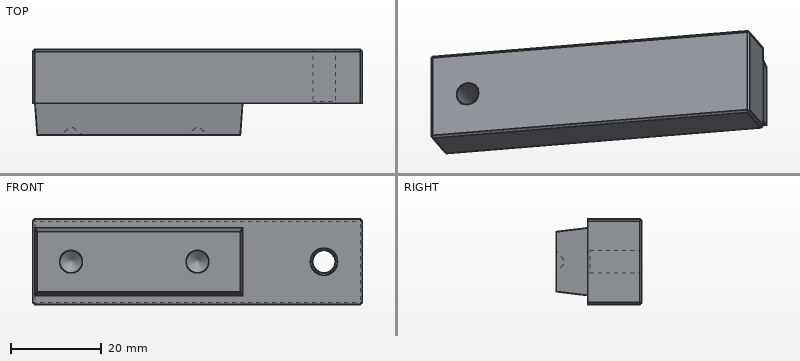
import cadquery as cq
import math

body_length = 73.0
body_thickness = 12.0
body_height = 19.0
body_chamfer = 0.5

pad_length = 46.0
pad_height = 15.0
pad_depth = 7.0
pad_end_gap = 0.5
end_taper = 0.5
side_draft_angle = 7.0

hole_diameter = 5.0
hole_end_distance = 8.5
hole_pitch = 28.0
mouth_diameter = 6.0
spot_depth = 2.0

mid_height = body_height / 2
pad_face_y = -pad_depth
spot_x = [hole_end_distance, hole_end_distance + hole_pitch]
through_hole_x = hole_end_distance + 2 * hole_pitch


def make_body():
    """Bar with chamfered back-face edges and chamfered corners along Y."""
    bar = cq.Workplane("XY").box(body_length, body_thickness, body_height, centered=False)
    bar = bar.faces(">Y").edges().chamfer(body_chamfer)
    return bar.edges("|Y").chamfer(body_chamfer)


def make_pad():
    """Pad that narrows toward -Y, steeper on its long sides than on its ends."""
    side_taper = pad_depth * math.tan(math.radians(side_draft_angle))
    pad_center = (pad_end_gap + pad_length / 2, 0, mid_height)
    return (
        cq.Workplane("XZ", origin=pad_center)
        .rect(pad_length, pad_height)
        .workplane(offset=pad_depth)
        .rect(pad_length - 2 * end_taper, pad_height - 2 * side_taper)
        .loft(ruled=True)
    )


def make_conical_spot(x):
    """Conical recess in the pad face."""
    radius = hole_diameter / 2
    return (
        cq.Workplane("XY", origin=(x, pad_face_y, mid_height))
        .polyline([(0, 0), (radius, 0), (0, spot_depth)])
        .close()
        .revolve(360, (0, 0), (0, 1))
    )


def make_through_hole(x):
    """Hole through the body with a 45 degree countersunk mouth on its -Y face."""
    radius = hole_diameter / 2
    mouth_radius = mouth_diameter / 2
    mouth_depth = mouth_radius - radius
    profile = [
        (0, 0),
        (mouth_radius, 0),
        (radius, mouth_depth),
        (radius, body_thickness),
        (0, body_thickness),
    ]
    return (
        cq.Workplane("XY", origin=(x, 0, mid_height))
        .polyline(profile)
        .close()
        .revolve(360, (0, 0), (0, 1))
    )


result = make_body().union(make_pad())
for x in spot_x:
    result = result.cut(make_conical_spot(x))
result = result.cut(make_through_hole(through_hole_x))